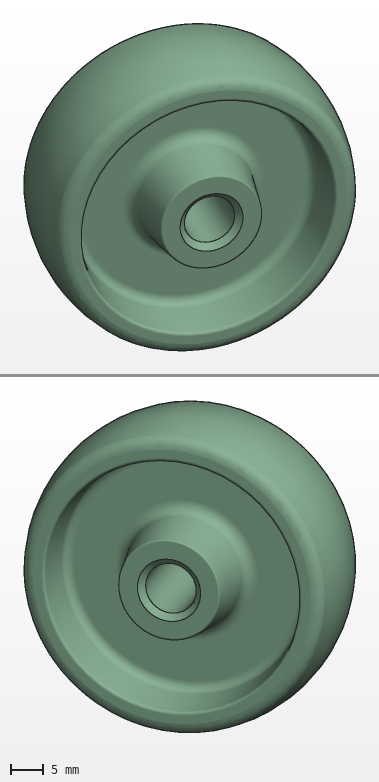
import cadquery as cq
import math

wheel_radius = 50 / 2
hub_half_length = 22 / 2
rim_half_width = 19 / 2
web_half_thickness = 1.5

crown_radius = 28.8
shoulder_fillet = 1.875

recess_mouth_radius = 20.2
recess_foot_radius = 19.25
recess_mouth_fillet = 0.5
recess_foot_fillet = 1.5

hub_tip_radius = 8
hub_foot_radius = 9.5
hub_tip_fillet = 0.25
hub_foot_fillet = 2

bore_radius = 4
bore_chamfer = 1

crown_drop = crown_radius - math.sqrt(crown_radius**2 - rim_half_width**2)
shoulder_radius = wheel_radius - crown_drop


def sharp_wheel():
    """Revolve the cross-section, with unrounded corners, about the X axis."""
    right_side = [
        (hub_half_length, bore_radius + bore_chamfer),
        (hub_half_length, hub_tip_radius),
        (web_half_thickness, hub_foot_radius),
        (web_half_thickness, recess_foot_radius),
        (rim_half_width, recess_mouth_radius),
        (rim_half_width, shoulder_radius),
    ]
    left_side = [(-x, radius) for x, radius in reversed(right_side)]
    bore_end = hub_half_length - bore_chamfer
    section = (
        cq.Workplane("XY")
        .moveTo(-bore_end, bore_radius)
        .lineTo(bore_end, bore_radius)
    )
    for x, radius in right_side:
        section = section.lineTo(x, radius)
    section = section.threePointArc((0, wheel_radius), left_side[0])
    for x, radius in left_side[1:]:
        section = section.lineTo(x, radius)
    return section.close().revolve(360, (0, 0, 0), (1, 0, 0))


def round_rings(body, ring_radius, fillet_radius):
    """Fillet the matching pair of circular edges, one on each side of the web."""
    tolerance = 0.005
    rings = body.edges("%CIRCLE").filter(
        lambda edge: abs(edge.radius() - ring_radius) < tolerance
    )
    return rings.fillet(fillet_radius)


ring_fillets = [
    (shoulder_radius, shoulder_fillet),
    (recess_mouth_radius, recess_mouth_fillet),
    (recess_foot_radius, recess_foot_fillet),
    (hub_foot_radius, hub_foot_fillet),
    (hub_tip_radius, hub_tip_fillet),
]

result = sharp_wheel()
for ring_radius, fillet_radius in ring_fillets:
    result = round_rings(result, ring_radius, fillet_radius)